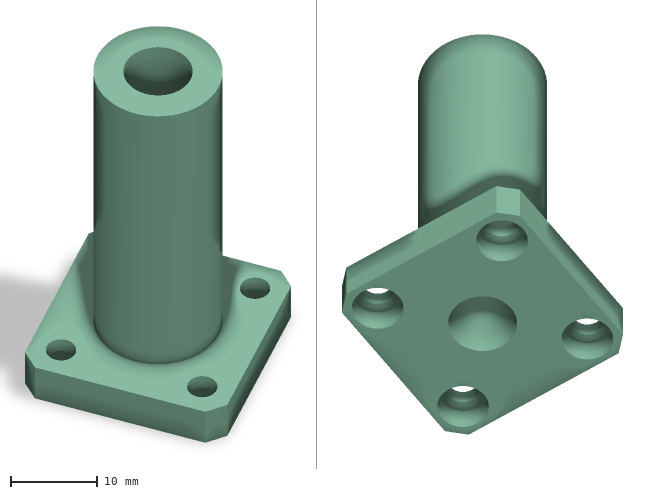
import cadquery as cq

total_height = 45.0
flange_side = 25.0
flange_thickness = 5.0
corner_chamfer = 2.0

tube_diameter = 15.0
bore_diameter = 8.0

hole_diameter = 3.5
hole_spacing = 17.45
counterbore_diameter = 6.0
counterbore_depth = 3.1


def make_flange():
    """Square flange with chamfered corners, resting on Z = 0."""
    flange = cq.Workplane("XY").rect(flange_side, flange_side).extrude(flange_thickness)
    return flange.edges("|Z").chamfer(corner_chamfer)


def make_tube_body():
    """Solid cylinder over the full height, before boring."""
    return cq.Workplane("XY").circle(tube_diameter / 2).extrude(total_height)


def make_bore():
    """Cutter for the central through bore."""
    return cq.Workplane("XY").circle(bore_diameter / 2).extrude(total_height)


def make_corner_cylinders(diameter, height):
    """Four cylinders standing on Z = 0 at the mounting hole centres."""
    return (
        cq.Workplane("XY")
        .rect(hole_spacing, hole_spacing, forConstruction=True)
        .vertices()
        .circle(diameter / 2)
        .extrude(height)
    )


def make_mounting_holes():
    """Cutters for the flange through holes, counterbored from the bottom face."""
    through_holes = make_corner_cylinders(hole_diameter, flange_thickness)
    counterbores = make_corner_cylinders(counterbore_diameter, counterbore_depth)
    return through_holes.union(counterbores)


body = make_flange().union(make_tube_body())
result = body.cut(make_bore()).cut(make_mounting_holes())